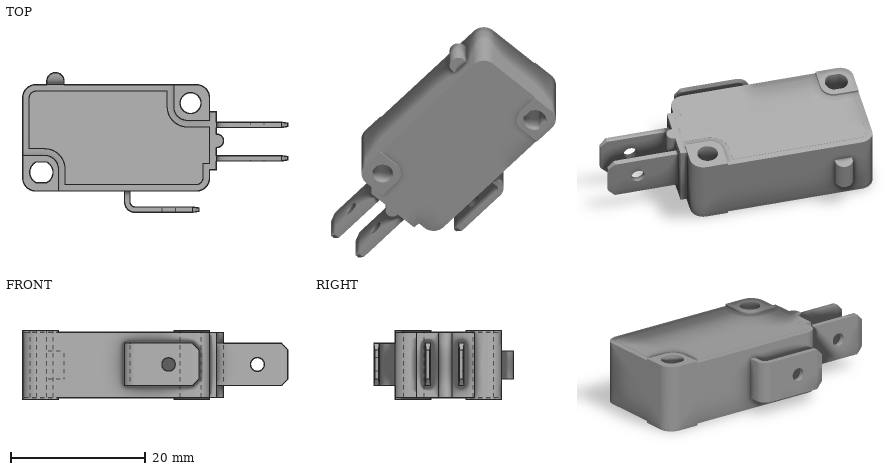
import cadquery as cq


case_length = 27.85
case_width = 15.88
overall_height = 10.3
corner_radius = 2.0
pad_rise = 0.3
panel_rise = 0.05
case_height = overall_height - 2 * pad_rise

pad_side = 5.35
mount_hole_diameter = 3.1
flatted_hole_diameter = 3.45
mount_hole_inset = 2.8
mount_spacing_x = 22.2
mount_spacing_y = 10.3

panel_margin = 1.0
panel_notch = pad_side + panel_margin
panel_corner_radius = corner_radius - panel_margin
panel_notch_radius = corner_radius + panel_margin

block_depth = 1.0
block_bottom = 3.15
block_top = 11.85
key_diameter = 2.0
key_offset = 0.08

case_overlap = 0.4

plunger_x = 4.9
plunger_diameter = 2.6
plunger_tip = 17.65
plunger_height = 4.2

blade_thickness = 0.83
blade_width = 6.32
blade_offset_z = 0.08
blade_hole_diameter = 2.0
blade_hole_setback = 4.55
blade_tip_length = 1.0
blade_tip_thickness = 0.5
blade_end = 39.5
blade_centers_y = (4.9, 9.88)
common_start = 15.15
common_end = 26.25
common_outer_y = -3.15
common_bend_radius = 1.58


def extrude_centered(outline, height):
    """Extrude an outline equally to both sides of its workplane."""
    return outline.extrude(height / 2, both=True)


def make_case():
    outline = cq.Workplane("XY").rect(case_length, case_width, centered=False)
    return extrude_centered(outline, case_height).edges("|Z").fillet(corner_radius)


def make_pads():
    """Corner pads proud of both case faces, rounded at the outer and inner corners."""
    first = extrude_centered(cq.Workplane("XY").rect(pad_side, pad_side, centered=False), overall_height)
    for corner in ("<X and <Y", ">X and >Y"):
        first = first.edges("|Z").edges(corner).fillet(corner_radius)
    second = first.translate((case_length - pad_side, case_width - pad_side, 0))
    return first.union(second)


def make_panel():
    """Raised label area, notched around the pads and open to the terminal block."""
    left = panel_margin
    right = case_length - panel_margin
    bottom = panel_margin
    top = case_width - panel_margin
    step_y = block_bottom + panel_margin
    notch_x = case_length - panel_notch
    notch_y = case_width - panel_notch
    outline = (
        cq.Workplane("XY")
        .moveTo(panel_notch, bottom)
        .lineTo(right - panel_corner_radius, bottom)
        .radiusArc((right, bottom + panel_corner_radius), -panel_corner_radius)
        .lineTo(right, step_y)
        .lineTo(case_length, step_y)
        .lineTo(case_length, notch_y)
        .lineTo(notch_x + panel_notch_radius, notch_y)
        .radiusArc((notch_x, notch_y + panel_notch_radius), panel_notch_radius)
        .lineTo(notch_x, top)
        .lineTo(left + panel_corner_radius, top)
        .radiusArc((left, top - panel_corner_radius), -panel_corner_radius)
        .lineTo(left, panel_notch)
        .lineTo(panel_notch - panel_notch_radius, panel_notch)
        .radiusArc((panel_notch, panel_notch - panel_notch_radius), panel_notch_radius)
        .close()
    )
    return extrude_centered(outline, case_height + 2 * panel_rise)


def make_terminal_block():
    block_end = case_length + block_depth
    key_y = (block_bottom + block_top) / 2
    outline = (
        cq.Workplane("XY")
        .moveTo(case_length - corner_radius, block_bottom)
        .rect(corner_radius + block_depth, block_top - block_bottom, centered=False)
    )
    block = extrude_centered(outline, case_height)
    key = cq.Workplane("XY").center(block_end + key_offset, key_y).circle(key_diameter / 2)
    return block.union(extrude_centered(key, case_height))


def make_plunger():
    radius = plunger_diameter / 2
    shoulder_y = plunger_tip - radius
    outline = (
        cq.Workplane("XY")
        .moveTo(plunger_x - radius, case_width - case_overlap)
        .lineTo(plunger_x + radius, case_width - case_overlap)
        .lineTo(plunger_x + radius, shoulder_y)
        .threePointArc((plunger_x, plunger_tip), (plunger_x - radius, shoulder_y))
        .close()
    )
    return extrude_centered(outline, plunger_height)


def make_blade(start, end, center_y):
    """Flat blade along X with a round hole and a tip that narrows in both width and thickness."""

    def tapered_outline(plane, size, end_size):
        upper = [(start, size / 2), (end - blade_tip_length, size / 2), (end, end_size / 2)]
        lower = [(x, -half_size) for x, half_size in reversed(upper)]
        return cq.Workplane(plane).polyline(upper + lower).close()

    face = tapered_outline("XZ", blade_width, blade_width - 2 * blade_tip_length)
    profile = tapered_outline("XY", blade_thickness, blade_tip_thickness)
    hole = cq.Workplane("XZ").center(end - blade_hole_setback, 0).circle(blade_hole_diameter / 2)
    blade = extrude_centered(face, blade_thickness).intersect(extrude_centered(profile, blade_width))
    blade = blade.cut(extrude_centered(hole, blade_thickness))
    return blade.translate((0, center_y, blade_offset_z))


def make_common_terminal():
    """Blade that leaves the side of the case and bends to run along X."""
    bend_end = common_start + common_bend_radius
    inner_radius = common_bend_radius - blade_thickness
    bend_y = common_outer_y + common_bend_radius
    bend = (
        cq.Workplane("XY")
        .moveTo(common_start, case_overlap)
        .lineTo(common_start, bend_y)
        .radiusArc((bend_end, common_outer_y), -common_bend_radius)
        .lineTo(bend_end, common_outer_y + blade_thickness)
        .radiusArc((common_start + blade_thickness, bend_y), inner_radius)
        .lineTo(common_start + blade_thickness, case_overlap)
        .close()
    )
    leg = extrude_centered(bend, blade_width).translate((0, 0, blade_offset_z))
    return leg.union(make_blade(bend_end, common_end, common_outer_y + blade_thickness / 2))


def make_mounting_holes():
    """Round hole at the far corner, and a larger one near the origin with two flats along X."""
    near = cq.Workplane("XY").center(mount_hole_inset, mount_hole_inset)
    flatted_hole = extrude_centered(near.circle(flatted_hole_diameter / 2), overall_height)
    flats = extrude_centered(near.rect(flatted_hole_diameter, mount_hole_diameter), overall_height)
    far = near.center(mount_spacing_x, mount_spacing_y)
    round_hole = extrude_centered(far.circle(mount_hole_diameter / 2), overall_height)
    return round_hole.union(flatted_hole.intersect(flats))


result = make_case().union(make_pads()).union(make_panel()).union(make_terminal_block())
result = result.union(make_plunger()).union(make_common_terminal())
for blade_y in blade_centers_y:
    result = result.union(make_blade(case_length, blade_end, blade_y))
result = result.cut(make_mounting_holes())